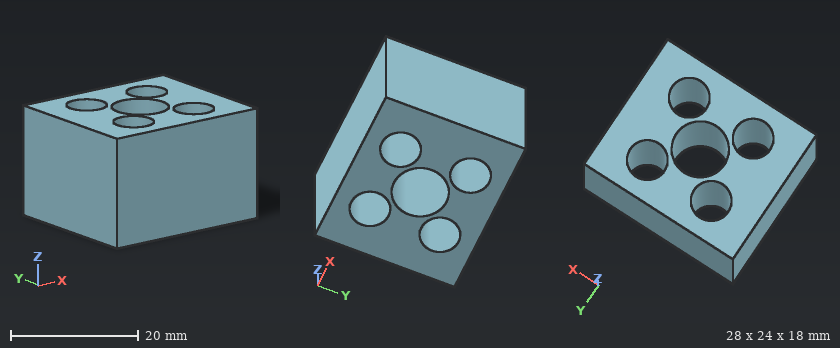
import cadquery as cq

LENGTH = 28.0
WIDTH = 24.0
HEIGHT = 18.0

CENTRE_HOLE_DIAMETER = 9.0
CORNER_HOLE_DIAMETER = 6.4
CORNER_HOLE_SPACING = 12.0


def make_block():
    return cq.Workplane("XY").box(LENGTH, WIDTH, HEIGHT, centered=(True, True, False))


def cut_centre_hole(body):
    return body.faces(">Z").workplane().hole(CENTRE_HOLE_DIAMETER)


def cut_corner_holes(body):
    """Four holes on a square pattern around the centre hole."""
    return (
        body.faces(">Z")
        .workplane(origin=(0, 0, HEIGHT))
        .rect(CORNER_HOLE_SPACING, CORNER_HOLE_SPACING, forConstruction=True)
        .vertices()
        .hole(CORNER_HOLE_DIAMETER)
    )


result = cut_corner_holes(cut_centre_hole(make_block()))